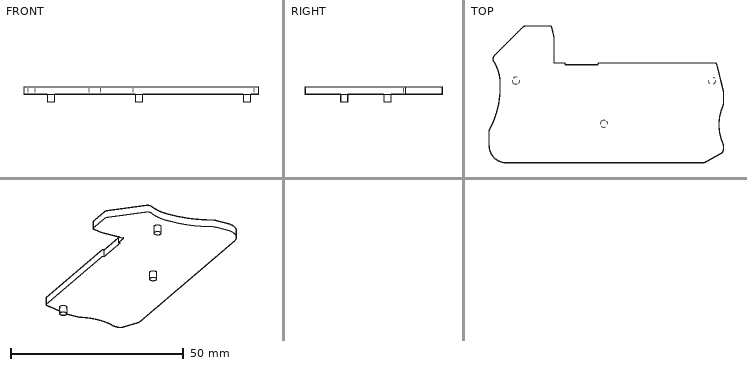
import cadquery as cq
import math

length = 68.0
width = 39.8
height = 4.4

plate_thickness = 2.25
pin_diameter = 2.1
pin_length = height - plate_thickness
outer_pin_y = 23.9
middle_pin_y = 11.35
pin_centers = [(7.8, outer_pin_y), (33.3, middle_pin_y), (64.7, outer_pin_y)]

body_width = 29.05
relief_start_x = 22.2
relief_end_x = 31.55
relief_depth = 0.55

tab_right_x = 18.9
tab_top_right_x = 18.1
tab_taper_start_y = 36.45
tab_left_x = 0.75
tab_left_y = 30.3
tab_top_left_x = tab_left_x + (width - tab_left_y)

left_scallop_start_y = 9.45
left_scallop_join_x = 3.2
left_scallop_join_y = 22.5
left_scallop_lower_mid = (2.5, 15.9)
left_scallop_upper_mid = (2.7, 26.45)

back_slope_x = 65.95
back_slope_end_y = 20.8
right_scallop_y = 11.1
right_scallop_radius = 13.6
right_scallop_depth = 1.3
front_slope_x = 62.35
front_slope_end_y = 3.1

front_left_radius = 5.1
tab_corner_radius = 1.35
tab_taper_radius = 3.4
front_slope_radius = 2.05
front_tip_radius = 1.55
small_radius = 1.0
sharp_radius = 0.7
relief_radius = 0.5

right_scallop_half_chord = math.sqrt(
    right_scallop_radius**2 - (right_scallop_radius - right_scallop_depth) ** 2
)
right_scallop_front = (length, right_scallop_y - right_scallop_half_chord)
right_scallop_back = (length, right_scallop_y + right_scallop_half_chord)

front_left = (0, 0)
front_slope_start = (front_slope_x, 0)
front_slope_end = (length, front_slope_end_y)
back_slope_start = (back_slope_x, body_width)
relief_right = (relief_end_x, body_width)
relief_left = (relief_start_x, body_width)
tab_taper_start = (tab_right_x, tab_taper_start_y)
tab_top_right = (tab_top_right_x, width)
tab_top_left = (tab_top_left_x, width)
tab_left = (tab_left_x, tab_left_y)
left_scallop_start = (0, left_scallop_start_y)

corner_radii = [
    (front_left, front_left_radius),
    (front_slope_start, front_slope_radius),
    (front_slope_end, front_tip_radius),
    (right_scallop_front, small_radius),
    (right_scallop_back, small_radius),
    (back_slope_start, sharp_radius),
    (relief_right, relief_radius),
    (relief_left, relief_radius),
    (tab_taper_start, tab_taper_radius),
    (tab_top_right, sharp_radius),
    (tab_top_left, tab_corner_radius),
    (tab_left, tab_corner_radius),
    (left_scallop_start, small_radius),
]


def make_plate():
    """Flat plate with sharp corners, its underside at Z = 0."""
    relief_floor_y = body_width - relief_depth
    return (
        cq.Workplane("XY")
        .moveTo(*front_left)
        .lineTo(*front_slope_start)
        .lineTo(*front_slope_end)
        .lineTo(*right_scallop_front)
        .threePointArc((length - right_scallop_depth, right_scallop_y), right_scallop_back)
        .lineTo(length, back_slope_end_y)
        .lineTo(*back_slope_start)
        .lineTo(*relief_right)
        .lineTo(relief_end_x, relief_floor_y)
        .lineTo(relief_start_x, relief_floor_y)
        .lineTo(*relief_left)
        .lineTo(tab_right_x, body_width)
        .lineTo(*tab_taper_start)
        .lineTo(*tab_top_right)
        .lineTo(*tab_top_left)
        .lineTo(*tab_left)
        .threePointArc(left_scallop_upper_mid, (left_scallop_join_x, left_scallop_join_y))
        .threePointArc(left_scallop_lower_mid, left_scallop_start)
        .close()
        .extrude(plate_thickness)
    )


def round_corner(plate, corner, radius):
    """Round the vertical plate edge that stands at the given corner."""
    edge_middle = (*corner, plate_thickness / 2)
    return plate.edges(cq.selectors.NearestToPointSelector(edge_middle)).fillet(radius)


def make_pins():
    """Round pins that hang below the plate."""
    return (
        cq.Workplane("XY")
        .pushPoints(pin_centers)
        .circle(pin_diameter / 2)
        .extrude(-pin_length)
    )


plate = make_plate()
for corner, radius in corner_radii:
    plate = round_corner(plate, corner, radius)

result = plate.union(make_pins())